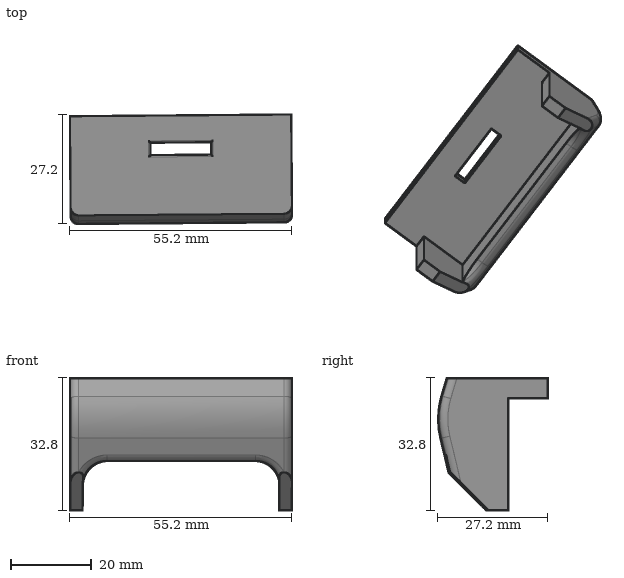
import cadquery as cq
import math

width = 55.0
height = 32.81
yaw_degrees = 0.45

flange_thickness = 5.0
flange_overhang = 9.8
body_depth = 17.02
foot_depth = 5.0
nose_radius = 20.0
nose_center_depth = 10.2
upper_face_slope = math.radians(16.5)
lower_face_slope = math.radians(13.5)
side_edge_radius = 2.0

leg_width = 3.1
arch_top_depth = 20.6
arch_corner_radius = 6.0
arch_edge_radius = 2.0
cavity_depth = 12.0

slot_length = 15.0
slot_width = 3.0
slot_mouth_radius = 0.5

pick_margin = 1.0

opening_width = width - 2 * leg_width
total_depth = flange_overhang + body_depth
body_rear = -flange_overhang
foot_front = body_rear - foot_depth
nose_front = -total_depth
nose_center_y = nose_front + nose_radius
arc_top_y = nose_center_y - nose_radius * math.cos(upper_face_slope)
arc_top_z = -nose_center_depth + nose_radius * math.sin(upper_face_slope)
arc_bottom_y = nose_center_y - nose_radius * math.cos(lower_face_slope)
arc_bottom_z = -nose_center_depth - nose_radius * math.sin(lower_face_slope)
top_front = arc_top_y - arc_top_z * math.tan(upper_face_slope)
bottom_front = arc_bottom_y + (height + arc_bottom_z) * math.tan(lower_face_slope)


def make_body():
    """Flange and body with the bowed front, all edges sharp."""
    profile = (
        cq.Workplane("YZ")
        .moveTo(0, 0)
        .lineTo(top_front, 0)
        .lineTo(arc_top_y, arc_top_z)
        .threePointArc((nose_front, -nose_center_depth), (arc_bottom_y, arc_bottom_z))
        .lineTo(bottom_front, -height)
        .lineTo(body_rear, -height)
        .lineTo(body_rear, -flange_thickness)
        .lineTo(0, -flange_thickness)
        .close()
    )
    return profile.extrude(width / 2, both=True)


def round_side_edges(body):
    """Round the front edges running down both sides."""
    front_side_edges = cq.selectors.BoxSelector(
        (-width, nose_front - pick_margin, -height),
        (width, bottom_front + pick_margin, -pick_margin),
    )
    side_edges = body.faces("<X or >X").edges(front_side_edges)
    return side_edges.fillet(side_edge_radius)


def cut_foot_bevel(body):
    """Slope the lower front at 45 degrees down to the feet."""
    reach = total_depth
    wedge = (
        cq.Workplane("YZ")
        .moveTo(foot_front, -height)
        .lineTo(foot_front - reach, -height)
        .lineTo(foot_front - reach, -height + reach)
        .close()
        .extrude(width, both=True)
    )
    return body.cut(wedge)


def cut_arch(body):
    """Round-cornered passage through the front, leaving a leg at each side."""
    arch_height = 2 * (height - arch_top_depth)
    arch = (
        cq.Workplane("XY")
        .box(opening_width, 3 * total_depth, arch_height)
        .edges("|Y")
        .fillet(arch_corner_radius)
        .translate((0, 0, -height))
    )
    return body.cut(arch)


def round_arch_edge(body):
    """Round the edge where the arch meets the sloping lower front face."""
    edge_zone = cq.selectors.BoxSelector(
        (-pick_margin, nose_front, -arch_top_depth - pick_margin),
        (pick_margin, foot_front, -arch_top_depth + pick_margin),
    )
    return body.edges(edge_zone).fillet(arch_edge_radius)


def cut_cavity(body):
    """Hollow the body below the flange, open at the rear and underneath."""
    cavity = cq.Workplane("XY").box(
        opening_width, cavity_depth, height - flange_thickness, centered=(True, False, False)
    )
    return body.cut(cavity.translate((0, body_rear - cavity_depth, -height)))


def cut_slot(body):
    """Slot through the flange with a rounded mouth in the top face."""
    slot = (
        cq.Workplane("XY")
        .center(0, body_rear + slot_width / 2)
        .rect(slot_length, slot_width)
        .extrude(-flange_thickness)
    )
    mouth_zone = cq.selectors.BoxSelector(
        (-slot_length, body_rear - pick_margin, -pick_margin),
        (slot_length, body_rear + slot_width + pick_margin, pick_margin),
    )
    mouth_edges = body.cut(slot).faces(">Z").edges(mouth_zone)
    return mouth_edges.fillet(slot_mouth_radius)


holder = round_side_edges(make_body())
holder = cut_foot_bevel(holder)
holder = cut_cavity(holder)
holder = cut_slot(holder)
arched_body = round_arch_edge(cut_arch(make_body()))
part = holder.intersect(arched_body)
result = part.rotate((0, 0, 0), (0, 0, 1), yaw_degrees)